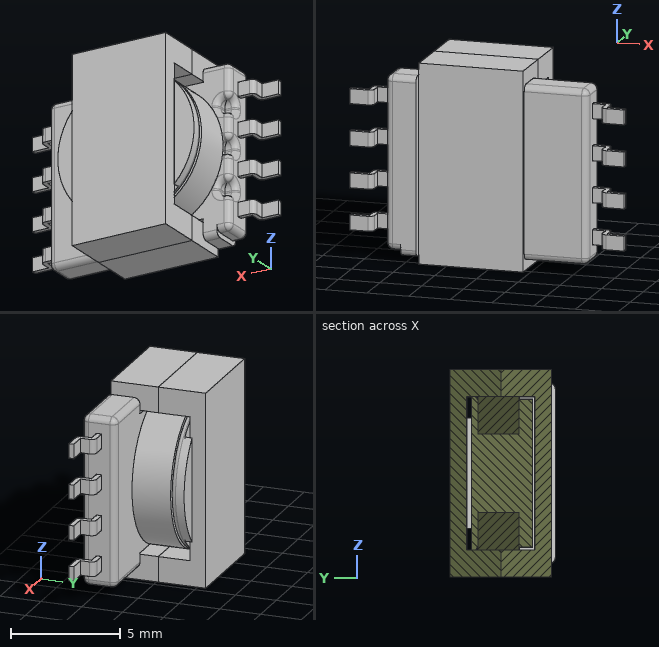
import cadquery as cq


core_center_x = -0.83
core_width = 5.0
core_height = 9.5
core_front_y = 0.18
core_back_y = 4.83
yoke_thickness = 0.78
window_height = 7.0

coil_radius = 3.65
hub_radius = 1.97
flange_front_y = 3.55
flange_back_y = 3.85
flange_edge_radius = 0.24
lip_back_y = 4.21

block_outer_x = 4.84
left_block_inner_x = -3.41
right_block_inner_x = 1.79
block_height = 8.28
block_back_y = 1.66
block_edge_radius = 0.3
plate_front_y = 1.05
plate_height = 6.78

tab_outer_x = -4.15
tab_drop = 0.25

groove_count = 3
groove_pitch = 2.05
groove_half_width = 0.34
groove_corner_radius = 0.3
groove_end_y = 1.03
groove_depth = 0.66

pins_per_side = 4
pin_pitch = 1.99
pin_width = 0.71
pin_thickness = 0.25
pin_tip_x = 6.58
pin_leg_outer_x = 5.71
pin_top_y = 0.95

TOLERANCE = 0.001


def box(x_min, x_max, y_min, y_max, z_min, z_max):
    size = (x_max - x_min, y_max - y_min, z_max - z_min)
    return cq.Workplane().box(*size, centered=False).translate((x_min, y_min, z_min))


def coil_disc(radius, y_min, y_max):
    """A disc on the coil axis."""
    plane = cq.Workplane("XZ", origin=(core_center_x, y_min, 0))
    return plane.circle(radius).extrude(-(y_max - y_min))


def window_slab():
    """The space between the two core legs, open along X."""
    half_height = window_height / 2
    return box(-pin_tip_x, pin_tip_x, core_front_y, core_back_y, -half_height, half_height)


def row_places(count, pitch):
    """Z positions of an evenly spaced row centred on Z = 0."""
    return [(i - (count - 1) / 2) * pitch for i in range(count)]


def core_half(outer_y, parting_y):
    """A U-shaped half: a yoke at outer_y with two legs that reach the parting plane."""
    y_min, y_max = sorted((outer_y, parting_y))
    x_min = core_center_x - core_width / 2
    x_max = core_center_x + core_width / 2
    body = box(x_min, x_max, y_min, y_max, -core_height / 2, core_height / 2)
    window = box(
        x_min,
        x_max,
        core_front_y + yoke_thickness,
        core_back_y - yoke_thickness,
        -window_height / 2,
        window_height / 2,
    )
    return body.cut(window)


def make_winding():
    """A ring around the bobbin hub, between the base plate and the round flange."""
    ring = coil_disc(coil_radius, block_back_y, flange_front_y)
    ring = ring.cut(coil_disc(hub_radius, block_back_y, flange_front_y))
    return ring.intersect(window_slab())


def round_flange():
    """Disc behind the winding, with a raised lip on each side of the core."""
    disc = coil_disc(coil_radius, flange_front_y, lip_back_y)
    disc = disc.faces("<Y").edges().fillet(flange_edge_radius)
    core_recess = box(
        left_block_inner_x,
        right_block_inner_x,
        flange_back_y,
        lip_back_y,
        -coil_radius,
        coil_radius,
    )
    return disc.cut(core_recess).intersect(window_slab())


def wire_groove(z):
    """Cutter for one groove: a rounded end towards -Y and a rounded floor towards +X."""
    floor_x = -block_outer_x + groove_depth
    cutter = box(
        -block_outer_x,
        floor_x,
        groove_end_y,
        block_back_y,
        z - groove_half_width,
        z + groove_half_width,
    )
    end_corners = cutter.faces("<Y").edges("|X").fillet(groove_corner_radius)
    floor_corners = cutter.faces(">X").edges("|Y").fillet(groove_corner_radius)
    return end_corners.intersect(floor_corners)


def terminal_block(outer_x, inner_x, groove_places=()):
    """A block whose outer edges are all rounded, except around the face next to the core."""
    x_min, x_max = sorted((outer_x, inner_x))
    block = box(x_min, x_max, 0, block_back_y, -block_height / 2, block_height / 2)
    for z in groove_places:
        block = block.cut(wire_groove(z))
    outer_side = "<X" if outer_x < inner_x else ">X"
    outer_faces = block.faces(f"{outer_side} or <Y or >Y or <Z or >Z")
    rounded = outer_faces.edges().filter(lambda edge: abs(edge.Center().x - inner_x) > TOLERANCE)
    return rounded.fillet(block_edge_radius)


def key_tab():
    """Step below the left block, with its two lower edges rounded."""
    bottom_z = -block_height / 2 - tab_drop
    top_z = bottom_z + 2 * block_edge_radius
    tab = box(tab_outer_x, left_block_inner_x, 0, block_back_y, bottom_z, top_z)
    return tab.faces("<Z").edges("|X").fillet(block_edge_radius)


def pin(side, z):
    """A gull-wing pin on the side -1 (left) or +1 (right); each bend is round on its outside."""
    leg_inner_x = pin_leg_outer_x - pin_thickness
    outline = [
        (block_outer_x, pin_top_y),
        (pin_leg_outer_x, pin_top_y),
        (pin_leg_outer_x, pin_thickness),
        (pin_tip_x, pin_thickness),
        (pin_tip_x, 0),
        (leg_inner_x, 0),
        (leg_inner_x, pin_top_y - pin_thickness),
        (block_outer_x, pin_top_y - pin_thickness),
    ]
    strip = cq.Workplane("XY", origin=(0, 0, z - pin_width / 2))
    strip = strip.polyline([(side * x, y) for x, y in outline]).close().extrude(pin_width)
    bend_corners = [(pin_leg_outer_x, pin_top_y), (leg_inner_x, 0)]
    for x, y in bend_corners:
        corner = cq.selectors.NearestToPointSelector((side * x, y, z))
        strip = strip.edges("|Z").edges(corner).fillet(pin_thickness)
    return strip


def make_bobbin():
    left_block = terminal_block(
        -block_outer_x, left_block_inner_x, row_places(groove_count, groove_pitch)
    )
    right_block = terminal_block(block_outer_x, right_block_inner_x)
    plate = box(
        left_block_inner_x,
        right_block_inner_x,
        plate_front_y,
        block_back_y,
        -plate_height / 2,
        plate_height / 2,
    )
    hub = coil_disc(hub_radius, plate_front_y, flange_back_y)
    bobbin = plate.union(hub).union(round_flange())
    bobbin = bobbin.union(left_block.union(key_tab())).union(right_block)
    for side in (-1, 1):
        for z in row_places(pins_per_side, pin_pitch):
            bobbin = bobbin.union(pin(side, z))
    return bobbin


core_parting_y = (core_front_y + core_back_y) / 2
front_core = core_half(core_front_y, core_parting_y)
back_core = core_half(core_back_y, core_parting_y)
winding = make_winding()
bobbin = make_bobbin()

result = cq.Compound.makeCompound([front_core.val(), back_core.val(), winding.val(), bobbin.val()])